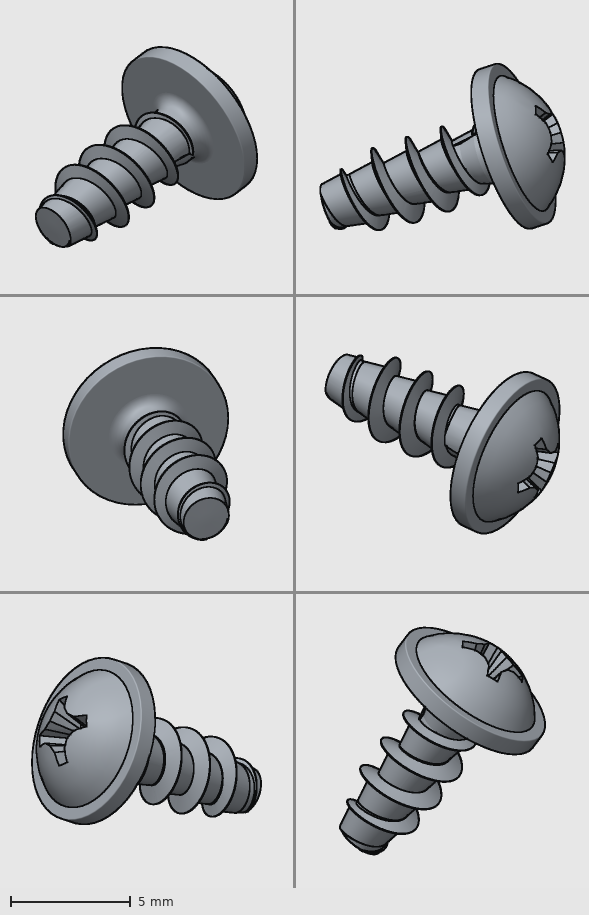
import cadquery as cq
import math


FLANGE_RADIUS = 3.5
FLANGE_THICKNESS = 0.8
FLANGE_EDGE_ROUND = 0.05
DOME_BASE_RADIUS = 2.96
DOME_HEIGHT = 1.62
JOINT_HEIGHT = -FLANGE_THICKNESS / 2
DOME_TOP = -FLANGE_THICKNESS - DOME_HEIGHT

SHANK_LENGTH = 8.0
NECK_RADIUS = 1.23
NECK_END = 0.87
NECK_FILLET = 0.5
CORE_RADIUS = 1.015
FLARE_END = 1.6
TIP_TAPER_START = 7.6
TIP_RADIUS = 0.96
TIP_CHAMFER = 0.03
TIP_CONE_HEIGHT = 0.025

PITCH = 1.565
THREAD_ORIGIN = 0.56
LEAD_IN_TURNS = 0.25
LEAD_IN_LIFT = NECK_END - THREAD_ORIGIN
CREST_RADIUS = 1.76
START_CREST_RADIUS = 1.37
GROWTH_END = 2.5
FADE_START = 5.73
END_CREST_RADIUS = 0.98
CREST_WIDTH = 0.04
FLANK_TANGENT = math.tan(math.radians(18))
BURIED_RADIUS = 0.88

LAND_START_RADIUS = 1.21
LAND_TAPER = math.tan(math.radians(9.6))
LAND_LENGTH = 1.1
LAND_FADE_START = 6.6
LAND_END_STEP = 0.02
FLANK_MIN_HEIGHT = 0.02

RECESS_DEPTH = 1.5
RECESS_TOP_OUTLINE = dict(reach=1.71, tip_half=0.27, root=0.97, root_half=0.32, corner=0.57)
RECESS_FLOOR_OUTLINE = dict(reach=0.75, tip_half=0.2, root=0.45, root_half=0.22, corner=0.27)

THREAD_TURNS = (SHANK_LENGTH - THREAD_ORIGIN) / PITCH
SEGMENTS = 8
SAMPLES_PER_SEGMENT = 8


def interpolate(value, start, end, start_result, end_result):
    """Linear change from start_result to end_result, held constant outside."""
    fraction = min(max((value - start) / (end - start), 0), 1)
    return start_result + fraction * (end_result - start_result)


def thread_height(turns):
    lead = max(1 - turns / LEAD_IN_TURNS, 0)
    return THREAD_ORIGIN + PITCH * turns + LEAD_IN_LIFT * lead**2


def crest_radius(turns):
    height = thread_height(turns)
    if height < GROWTH_END:
        return interpolate(height, NECK_END, GROWTH_END, START_CREST_RADIUS, CREST_RADIUS)
    return interpolate(height, FADE_START, SHANK_LENGTH, CREST_RADIUS, END_CREST_RADIUS)


def helical_section(turns):
    """Corners (radius, height) of the thread and the tapered land behind it."""
    crest = crest_radius(turns)
    height = thread_height(turns)
    fade = LAND_START_RADIUS - TIP_RADIUS
    land_start = LAND_START_RADIUS - interpolate(height, LAND_FADE_START, SHANK_LENGTH, 0, fade)
    land_start = min(land_start, crest - FLANK_MIN_HEIGHT)
    crest_half = CREST_WIDTH / 2
    root_half = crest_half + (crest - BURIED_RADIUS) * FLANK_TANGENT
    land_offset = crest_half + (crest - land_start) * FLANK_TANGENT
    land_end = max(land_start - LAND_LENGTH * LAND_TAPER, BURIED_RADIUS + LAND_END_STEP)
    return [
        (BURIED_RADIUS, height - root_half),
        (crest, height - crest_half),
        (crest, height + crest_half),
        (land_start, height + land_offset),
        (land_end, height + land_offset + LAND_LENGTH),
        (BURIED_RADIUS, height + land_offset + LAND_LENGTH),
    ]


def helical_segment(start_turns, end_turns):
    """Solid stretch of thread and land, its corners following splines."""
    step = (end_turns - start_turns) / SAMPLES_PER_SEGMENT
    stations = [start_turns + step * index for index in range(SAMPLES_PER_SEGMENT + 1)]
    paths = [[] for _ in helical_section(start_turns)]
    for turns in stations:
        angle = 2 * math.pi * turns
        for path, (radius, height) in zip(paths, helical_section(turns)):
            path.append(cq.Vector(radius * math.cos(angle), radius * math.sin(angle), height))
    edges = [cq.Edge.makeSpline(path, parameters=stations) for path in paths]
    faces = [cq.Face.makeRuledSurface(edges[i - 1], edges[i]) for i in range(len(edges))]
    for end in (0, -1):
        outline = cq.Wire.makePolygon([path[end] for path in paths], close=True)
        faces.append(cq.Face.makeFromWires(outline))
    solid = cq.Solid.makeSolid(cq.Shell.makeShell(faces))
    return cq.Workplane(obj=solid.fix())


def make_head():
    dome_radius = (DOME_BASE_RADIUS**2 + DOME_HEIGHT**2) / (2 * DOME_HEIGHT)
    dome_center = DOME_TOP + dome_radius
    half_angle = math.asin(DOME_BASE_RADIUS / dome_radius) / 2
    dome_middle = (
        dome_radius * math.sin(half_angle),
        dome_center - dome_radius * math.cos(half_angle),
    )
    flange = (
        cq.Workplane("XY")
        .circle(FLANGE_RADIUS)
        .extrude(-FLANGE_THICKNESS)
        .edges()
        .fillet(FLANGE_EDGE_ROUND)
    )
    dome = (
        cq.Workplane("XZ")
        .moveTo(0, DOME_TOP)
        .threePointArc(dome_middle, (DOME_BASE_RADIUS, -FLANGE_THICKNESS))
        .lineTo(DOME_BASE_RADIUS, JOINT_HEIGHT)
        .lineTo(0, JOINT_HEIGHT)
        .close()
        .revolve(360, (0, 0, 0), (0, 1, 0))
    )
    return flange.union(dome)


def make_core():
    fillet_reach = NECK_FILLET * (1 - math.sqrt(0.5))
    rim = SHANK_LENGTH - TIP_CONE_HEIGHT
    return (
        cq.Workplane("YZ")
        .moveTo(0, JOINT_HEIGHT)
        .lineTo(NECK_RADIUS + NECK_FILLET, JOINT_HEIGHT)
        .lineTo(NECK_RADIUS + NECK_FILLET, 0)
        .threePointArc((NECK_RADIUS + fillet_reach, fillet_reach), (NECK_RADIUS, NECK_FILLET))
        .lineTo(NECK_RADIUS, NECK_END)
        .lineTo(CORE_RADIUS, FLARE_END)
        .lineTo(CORE_RADIUS, TIP_TAPER_START)
        .lineTo(TIP_RADIUS, rim - TIP_CHAMFER)
        .lineTo(TIP_RADIUS - TIP_CHAMFER, rim)
        .lineTo(0, SHANK_LENGTH)
        .close()
        .revolve(360, (0, 0, 0), (0, 1, 0))
    )


def add_thread(body):
    """Join the thread segments to the body, each cut level with the tip rim."""
    rim = SHANK_LENGTH - TIP_CONE_HEIGHT
    envelope = cq.Workplane("XY").circle(FLANGE_RADIUS).extrude(rim)
    turns = THREAD_TURNS / SEGMENTS
    for index in range(SEGMENTS):
        segment = helical_segment(index * turns, (index + 1) * turns)
        body = body.union(segment.intersect(envelope))
    return body


def recess_outline(reach, tip_half, root, root_half, corner):
    """Cross of four tapered wings joined by slanted inner corners."""
    quarter = [
        (root, -root_half),
        (reach, -tip_half),
        (reach, tip_half),
        (root, root_half),
        (corner, corner),
    ]
    points = []
    for _ in range(4):
        points += quarter
        quarter = [(-y, x) for x, y in quarter]
    return points


def make_recess():
    return (
        cq.Workplane("XY", origin=(0, 0, DOME_TOP))
        .polyline(recess_outline(**RECESS_TOP_OUTLINE))
        .close()
        .workplane(offset=RECESS_DEPTH)
        .polyline(recess_outline(**RECESS_FLOOR_OUTLINE))
        .close()
        .loft(ruled=True)
    )


shank = add_thread(make_core())
screw = shank.union(make_head()).cut(make_recess())
result = screw.rotate((0, 0, 0), (1, 0, 0), 90)